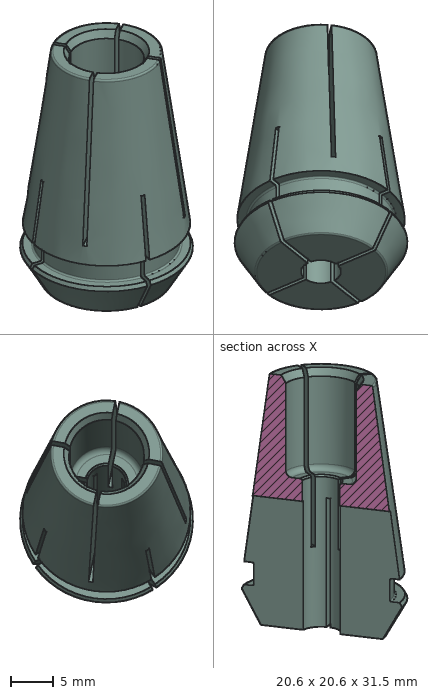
import cadquery as cq
import math

height = 31.5
flange_diameter = 20.6

flange_edge_z = 4.28
flange_top_z = 4.8
flange_top_diameter = 20.0
flange_half_angle = math.radians(30)

neck_diameter = 17.48
taper_base_z = 7.65
taper_base_diameter = 19.97
taper_half_angle = math.radians(8)

top_fillet = 0.25
bottom_fillet = 0.28
neck_fillet = 0.22

hole_diameter = 4.75
hole_chamfer = 0.22
counterbore_diameter = 8.95
counterbore_floor_z = 18.9
counterbore_fillet = 0.75
mouth_diameter = 10.17
mouth_depth = 0.95

slot_width = 0.5
lower_slot_top_z = 16.03
upper_slot_floor_z = 10.02


def outer_body():
    """Flange, groove and taper, revolved about Z, with rounded edges."""
    neck_radius = neck_diameter / 2
    flange_radius = flange_diameter / 2
    taper_base_radius = taper_base_diameter / 2
    bottom_radius = flange_radius - flange_edge_z * math.tan(flange_half_angle)
    top_radius = taper_base_radius - (height - taper_base_z) * math.tan(taper_half_angle)
    profile = (
        cq.Workplane("XZ")
        .moveTo(0, 0)
        .lineTo(bottom_radius, 0)
        .lineTo(flange_radius, flange_edge_z)
        .lineTo(flange_top_diameter / 2, flange_top_z)
        .lineTo(neck_radius, flange_top_z)
        .lineTo(neck_radius, taper_base_z)
        .lineTo(taper_base_radius, taper_base_z)
        .lineTo(top_radius, height)
        .lineTo(0, height)
        .close()
    )
    body = profile.revolve(360, (0, 0), (0, 1))
    body = body.faces(">Z").edges().fillet(top_fillet)
    body = body.faces("<Z").edges().fillet(bottom_fillet)
    smallest_radius = cq.selectors.RadiusNthSelector(0)
    groove_box = cq.selectors.BoxSelector(
        (-flange_radius, -flange_radius, flange_top_z - neck_fillet),
        (flange_radius, flange_radius, taper_base_z + neck_fillet),
    )
    return body.edges(groove_box).edges("%CIRCLE").edges(smallest_radius).fillet(neck_fillet)


def bore():
    """Through hole, round-cornered counterbore and conical mouth."""
    hole_radius = hole_diameter / 2
    counterbore_radius = counterbore_diameter / 2
    diagonal = counterbore_fillet * math.sqrt(0.5)
    fillet_center_radius = counterbore_radius - counterbore_fillet
    fillet_center_z = counterbore_floor_z + counterbore_fillet
    return (
        cq.Workplane("XZ")
        .moveTo(0, 0)
        .lineTo(hole_radius, 0)
        .lineTo(hole_radius, counterbore_floor_z - hole_chamfer)
        .lineTo(hole_radius + hole_chamfer, counterbore_floor_z)
        .lineTo(fillet_center_radius, counterbore_floor_z)
        .threePointArc(
            (fillet_center_radius + diagonal, fillet_center_z - diagonal),
            (counterbore_radius, fillet_center_z),
        )
        .lineTo(counterbore_radius, height - mouth_depth)
        .lineTo(mouth_diameter / 2, height)
        .lineTo(0, height)
        .close()
        .revolve(360, (0, 0), (0, 1))
    )


def crossed_slots(bottom_z, top_z, turn):
    """Two perpendicular slots through the full width, turned about Z in degrees."""
    centered = (True, True, False)
    depth = top_z - bottom_z
    base = cq.Workplane("XY").workplane(offset=bottom_z)
    first = base.box(2 * flange_diameter, slot_width, depth, centered=centered)
    second = base.box(slot_width, 2 * flange_diameter, depth, centered=centered)
    return first.union(second).rotate((0, 0, 0), (0, 0, 1), turn)


result = (
    outer_body()
    .cut(bore())
    .cut(crossed_slots(0, lower_slot_top_z, 0))
    .cut(crossed_slots(upper_slot_floor_z, height, 45))
)